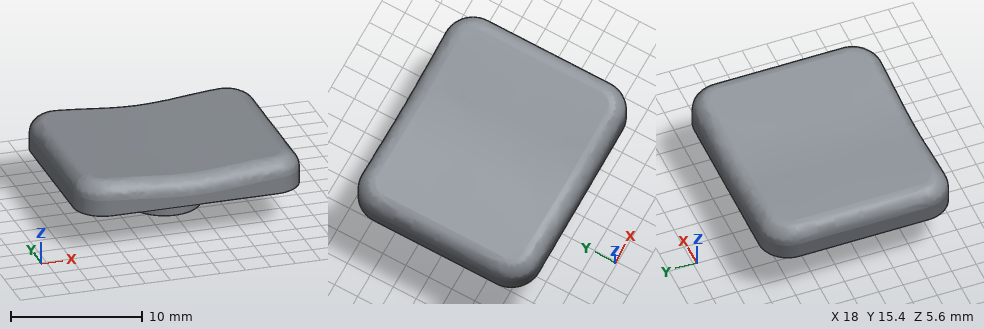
import cadquery as cq

cap_length = 17.98
cap_width = 15.39
total_height = 5.6

cap_thickness = 2.59
dish_depth = 0.5
corner_radius = 2.37
rim_radius = 1.31

stem_diameter = 5.61
stem_height = total_height - cap_thickness


def dished_slab():
    """Slab on Z = 0 whose top sags along X between level strips at its two ends."""
    half_length = cap_length / 2
    half_width = cap_width / 2
    dish_end = half_length - rim_radius
    level = (1, 0)
    top_points = [
        (-dish_end, cap_thickness),
        (0, cap_thickness - dish_depth),
        (dish_end, cap_thickness),
        (half_length, cap_thickness),
    ]
    return (
        cq.Workplane("XZ", origin=(0, half_width, 0))
        .moveTo(half_length, 0)
        .lineTo(-half_length, 0)
        .lineTo(-half_length, cap_thickness)
        .spline(
            top_points,
            tangents=[level] * (len(top_points) + 1),
            includeCurrent=True,
        )
        .close()
        .extrude(cap_width)
    )


def cap():
    """Dished slab with rounded vertical corners and a rounded upper rim."""
    slab = dished_slab().edges("|Z").fillet(corner_radius)
    return slab.faces(">Z").edges().fillet(rim_radius)


def stem():
    return cq.Workplane("XY").circle(stem_diameter / 2).extrude(-stem_height)


result = cap().union(stem())